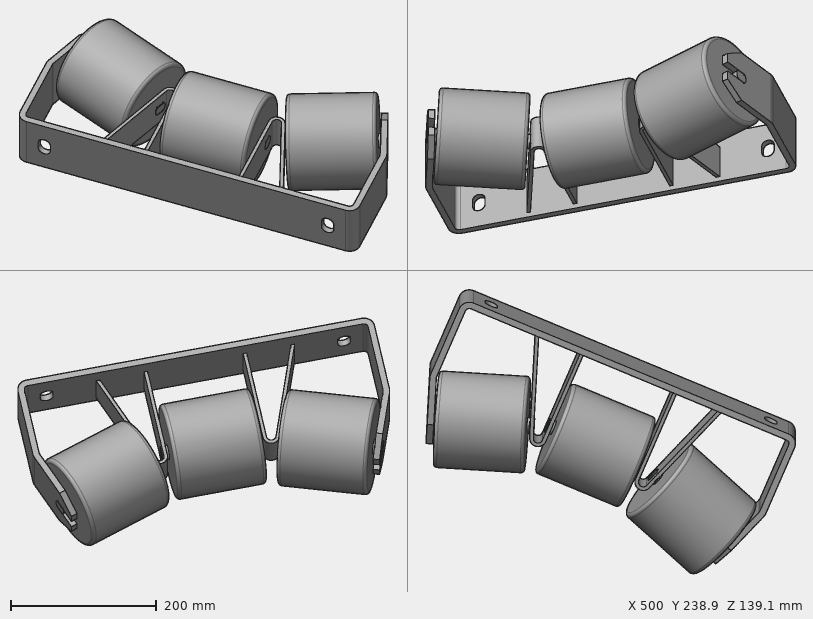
import cadquery as cq
import math

FRAME_LENGTH = 500.0
FRAME_WIDTH = 80.0
FRAME_THICKNESS = 9.0
BEND_RADIUS = 15.0
LIP_BEND_Y = 117.5
LIP_LENGTH = 99.5
LIP_CHAMFER_LENGTH = 31.0
LIP_CHAMFER_WIDTH = 18.5

MOUNT_SLOT_SPACING = 417.0
MOUNT_SLOT_WIDTH = 18.0
MOUNT_SLOT_HEIGHT = 27.0

DRUM_DIAMETER = 133.0
DRUM_LENGTH = 125.0
DRUM_FILLET = 5.0
AXLE_DIAMETER = 20.0
AXLE_FLATS = 15.0
AXLE_SHOULDER_REACH = 65.5
AXLE_REACH = 72.0
SIDE_AXLE_OUTER_REACH = 75.0

SIDE_ANGLE = 20.0
SIDE_TILT = 2.7
CENTRE_ROLLER_Y = 125.0
CENTRE_ROLLER_Z = -7.5
SIDE_ROLLER_X = 156.0
SIDE_ROLLER_Y = 156.5
SIDE_ROLLER_Z = -4.0

BRACKET_WIDTH = 50.0
BRACKET_THICKNESS = 5.0
BRACKET_BEND_RADIUS = 11.5
BRACKET_BEND_Y = 142.0
BRACKET_BEND_X = AXLE_REACH - BRACKET_THICKNESS + BRACKET_BEND_RADIUS

SIDES = (-1, 1)
SIN_SIDE = math.sin(math.radians(SIDE_ANGLE))
COS_SIDE = math.cos(math.radians(SIDE_ANGLE))


def place_on_centre_axis(body):
    """Move a body from the origin to the middle roller's place."""
    return body.translate((0, CENTRE_ROLLER_Y, CENTRE_ROLLER_Z))


def place_on_side_axis(body):
    """Move a body from the origin to the left roller's place, its +X end inwards and down."""
    tilted = body.rotate((0, 0, 0), (0, 1, 0), SIDE_TILT)
    turned = tilted.rotate((0, 0, 0), (0, 0, 1), -SIDE_ANGLE)
    return turned.translate((-SIDE_ROLLER_X, SIDE_ROLLER_Y, SIDE_ROLLER_Z))


def mirror_to_right(body):
    return body.mirror("YZ")


def make_bar(diameter, start_x, end_x):
    """Round bar along X."""
    return cq.Workplane("YZ", origin=(start_x, 0, 0)).circle(diameter / 2).extrude(end_x - start_x)


def make_flattened_bar(outer_reach):
    """Axle bar with a flat above and below, from -outer_reach to the inner end."""
    flats = cq.Workplane("XY").box(2 * outer_reach, AXLE_DIAMETER, AXLE_FLATS)
    return make_bar(AXLE_DIAMETER, -outer_reach, AXLE_REACH).intersect(flats)


def make_roller(outer_reach):
    """Drum around an axle that is round up to its shoulders and flattened beyond them."""
    drum = make_bar(DRUM_DIAMETER, -DRUM_LENGTH / 2, DRUM_LENGTH / 2).edges().fillet(DRUM_FILLET)
    shoulders = make_bar(AXLE_DIAMETER, -AXLE_SHOULDER_REACH, AXLE_SHOULDER_REACH)
    return drum.union(shoulders).union(make_flattened_bar(outer_reach))


def lip_outline():
    """Corner points of the left wall's sharp outline, from the back up to the lip and down again."""
    outer_x = -FRAME_LENGTH / 2
    inner_x = outer_x + FRAME_THICKNESS
    tip_x = outer_x + LIP_LENGTH * SIN_SIDE
    tip_y = LIP_BEND_Y + LIP_LENGTH * COS_SIDE
    inner_bend_y = LIP_BEND_Y - FRAME_THICKNESS * math.tan(math.radians(SIDE_ANGLE / 2))
    return [
        (outer_x, 0),
        (outer_x, LIP_BEND_Y),
        (tip_x, tip_y),
        (tip_x + FRAME_THICKNESS * COS_SIDE, tip_y - FRAME_THICKNESS * SIN_SIDE),
        (inner_x, inner_bend_y),
        (inner_x, FRAME_THICKNESS),
    ]


def make_bent_strip():
    """Frame strip with both walls, cut from one outline and rounded at its bends."""
    left = lip_outline()
    right = [(-x, y) for x, y in reversed(left)]
    lower_edge = cq.Workplane("XY", origin=(0, 0, -FRAME_WIDTH / 2))
    strip = lower_edge.polyline(left + right).close().extrude(FRAME_WIDTH)
    outer_corner, outer_bend, _, _, inner_bend, inner_corner = left
    inner_radius = BEND_RADIUS - FRAME_THICKNESS
    bends = (
        (outer_corner, BEND_RADIUS),
        (inner_corner, inner_radius),
        (outer_bend, BEND_RADIUS),
        (inner_bend, inner_radius),
    )
    for (x, y), radius in bends:
        for side in SIDES:
            edge = cq.NearestToPointSelector((side * x, y, 0))
            strip = strip.edges("|Z").edges(edge).fillet(radius)
    return strip


def make_lip_chamfer_cutter():
    """Two wedges that taper the left lip's tip, above and below."""
    tip_x, tip_y = lip_outline()[2]
    half_width = FRAME_WIDTH / 2
    lip_plane = cq.Plane(
        origin=(tip_x, tip_y, 0),
        xDir=(SIN_SIDE, COS_SIDE, 0),
        normal=(COS_SIDE, -SIN_SIDE, 0),
    )
    wedge = (
        cq.Workplane(lip_plane)
        .polyline([(0, half_width), (-LIP_CHAMFER_LENGTH, half_width), (0, half_width - LIP_CHAMFER_WIDTH)])
        .close()
        .extrude(FRAME_THICKNESS)
    )
    return wedge.union(wedge.mirror("XY"))


def make_axle_slot_cutter():
    """Slot that follows the left roller's axle and runs out through the lip's tip."""
    cut_reach = SIDE_AXLE_OUTER_REACH + FRAME_THICKNESS
    seat = make_flattened_bar(cut_reach)
    channel = cq.Workplane("XY", origin=(-cut_reach, 0, 0)).box(
        cut_reach, LIP_LENGTH, AXLE_FLATS, centered=(False, False, True)
    )
    return place_on_side_axis(channel.union(seat))


def make_frame():
    frame = make_bent_strip()
    lip_cutter = make_lip_chamfer_cutter().union(make_axle_slot_cutter())
    frame = frame.cut(lip_cutter).cut(mirror_to_right(lip_cutter))
    mount_slots = (
        cq.Workplane("XZ")
        .pushPoints([(side * MOUNT_SLOT_SPACING / 2, 0) for side in SIDES])
        .slot2D(MOUNT_SLOT_HEIGHT, MOUNT_SLOT_WIDTH, 90)
        .extrude(-FRAME_THICKNESS)
    )
    return frame.cut(mount_slots)


def bend_point(radius, angle):
    """Point on the left bracket's bend, at an angle from +X."""
    turn = math.radians(angle)
    return (-BRACKET_BEND_X + radius * math.cos(turn), BRACKET_BEND_Y + radius * math.sin(turn))


def leg_foot(radius):
    """Point where the left bracket's sloping leg meets the back of the frame."""
    x, y = bend_point(radius, 180 - SIDE_ANGLE)
    return (x - (y - FRAME_THICKNESS) * math.tan(math.radians(SIDE_ANGLE)), FRAME_THICKNESS)


def make_bracket():
    """Left bracket: an upright leg and a sloping leg joined by a round bend."""
    outer = BRACKET_BEND_RADIUS
    inner = BRACKET_BEND_RADIUS - BRACKET_THICKNESS
    bend_end = 180 - SIDE_ANGLE
    bracket = (
        cq.Workplane("XY", origin=(0, 0, CENTRE_ROLLER_Z - BRACKET_WIDTH / 2))
        .moveTo(outer - BRACKET_BEND_X, FRAME_THICKNESS)
        .lineTo(*bend_point(outer, 0))
        .threePointArc(bend_point(outer, bend_end / 2), bend_point(outer, bend_end))
        .lineTo(*leg_foot(outer))
        .lineTo(*leg_foot(inner))
        .lineTo(*bend_point(inner, bend_end))
        .threePointArc(bend_point(inner, bend_end / 2), bend_point(inner, 0))
        .lineTo(inner - BRACKET_BEND_X, FRAME_THICKNESS)
        .close()
        .extrude(BRACKET_WIDTH)
    )
    centre_hole = place_on_centre_axis(make_flattened_bar(AXLE_REACH))
    side_hole = place_on_side_axis(make_flattened_bar(SIDE_AXLE_OUTER_REACH))
    return bracket.cut(centre_hole).cut(side_hole)


frame = make_frame()

left_bracket = make_bracket()
brackets = [left_bracket, mirror_to_right(left_bracket)]

left_roller = place_on_side_axis(make_roller(SIDE_AXLE_OUTER_REACH))
rollers = [place_on_centre_axis(make_roller(AXLE_REACH)), left_roller, mirror_to_right(left_roller)]

result = cq.Compound.makeCompound([body.val() for body in [frame, *brackets, *rollers]])